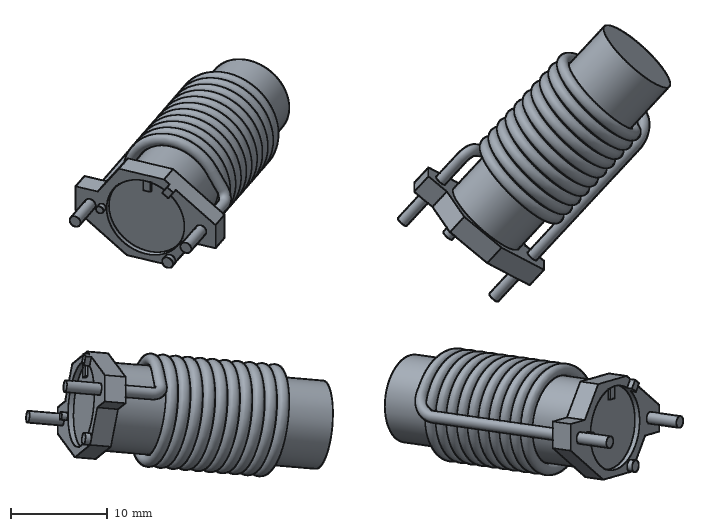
import cadquery as cq
import math


CORE_RADIUS = 4.63
CORE_END_Y = 26.05

BASE_THICKNESS = 2.27
BASE_HALF_WIDTH = 8.0
BASE_HALF_HEIGHT = 5.15
EAR_LONG_SIDE_Z = 1.75
EAR_SHORT_SIDE_Z = 1.07
NOTCH_X = 5.45
STEEP_CORNER_X = 3.05
SLOPE_CORNER_X = 2.12
BORE_RADIUS = 4.45
RECESS_DEPTH = 0.6

FOOT_HEIGHT = 0.63
SMALL_FOOT_RADIUS = 0.42
SMALL_FOOT_X = -4.95
LARGE_FOOT_RADIUS = 0.63
LARGE_FOOT_X = 2.8
LARGE_FOOT_Z = -4.48
RIB_FOOT_WIDTH = 0.87

KEY_WIDTH = 0.85
KEY_BOTTOM_Z = 3.0
KEY_THICKNESS = 0.27

WIRE_RADIUS = 0.63
COIL_CLEARANCE = 0.03
COIL_RADIUS = CORE_RADIUS + WIRE_RADIUS + COIL_CLEARANCE
FULL_TURNS = 10
FULL_TURNS_RISE = 13.52
COIL_PITCH = FULL_TURNS_RISE / FULL_TURNS
COIL_START_Y = 6.98
LEAD_X = 6.33
LEAD_TIP_Y = -3.8
NEAR_BEND_LENGTH = 1.2
FAR_BEND_LENGTH = 2.5

COIL_START_ANGLE = math.acos(COIL_RADIUS / LEAD_X)
COIL_SWEPT_ANGLE = 2 * math.pi * FULL_TURNS + math.pi - 2 * COIL_START_ANGLE
COIL_RISE = COIL_PITCH * COIL_SWEPT_ANGLE / (2 * math.pi)


def rod(radius, x, z, y_start, y_end):
    """Cylinder along Y between two stations."""
    return cq.Workplane(cq.Solid.makeCylinder(
        radius, y_end - y_start, cq.Vector(x, y_start, z), cq.Vector(0, 1, 0)))


def make_core():
    return rod(CORE_RADIUS, 0, 0, RECESS_DEPTH, CORE_END_Y)


def make_rib_foot():
    """Bar from the bore to the sloping edge, square to that edge."""
    edge_x = BASE_HALF_WIDTH - SLOPE_CORNER_X
    edge_z = BASE_HALF_HEIGHT - EAR_SHORT_SIDE_Z
    edge_distance = (edge_z * SLOPE_CORNER_X + edge_x * BASE_HALF_HEIGHT) / math.hypot(edge_x, edge_z)
    normal_angle = math.degrees(math.atan2(edge_x, edge_z))
    bar = cq.Workplane("XY").box(edge_distance, FOOT_HEIGHT, RIB_FOOT_WIDTH, centered=(False, False, True))
    bar = bar.translate((0, -FOOT_HEIGHT, 0)).rotate((0, 0, 0), (0, 1, 0), -normal_angle)
    return bar.cut(rod(BORE_RADIUS, 0, 0, -FOOT_HEIGHT, 0))


def make_base():
    half_outline = [
        (BASE_HALF_WIDTH, EAR_SHORT_SIDE_Z),
        (BASE_HALF_WIDTH, -EAR_LONG_SIDE_Z),
        (NOTCH_X, -EAR_LONG_SIDE_Z),
        (STEEP_CORNER_X, -BASE_HALF_HEIGHT),
        (-SLOPE_CORNER_X, -BASE_HALF_HEIGHT),
    ]
    outline = half_outline + [(-x, -z) for x, z in half_outline]
    base = cq.Workplane("XZ").polyline(outline).close().extrude(-BASE_THICKNESS)
    base = base.union(rod(SMALL_FOOT_RADIUS, SMALL_FOOT_X, 0, -FOOT_HEIGHT, 0))
    base = base.union(rod(LARGE_FOOT_RADIUS, LARGE_FOOT_X, LARGE_FOOT_Z, -FOOT_HEIGHT, 0))
    base = base.union(make_rib_foot())
    base = base.cut(rod(BORE_RADIUS, 0, 0, -FOOT_HEIGHT, RECESS_DEPTH))
    base = base.cut(rod(CORE_RADIUS, 0, 0, RECESS_DEPTH, BASE_THICKNESS))
    for side in (-1, 1):
        base = base.cut(rod(WIRE_RADIUS, side * LEAD_X, 0, 0, BASE_THICKNESS))
    return base


def make_key():
    key = cq.Workplane("XY").box(
        KEY_WIDTH, KEY_THICKNESS, BORE_RADIUS - KEY_BOTTOM_Z, centered=(True, False, False))
    key = key.translate((0, RECESS_DEPTH - KEY_THICKNESS, KEY_BOTTOM_Z))
    return key.intersect(rod(BORE_RADIUS, 0, 0, 0, RECESS_DEPTH))


def sweep_wire(path, start, direction):
    """Round wire along a path that starts at a point in a direction."""
    section = cq.Workplane(cq.Plane(start, normal=direction)).circle(WIRE_RADIUS)
    return section.sweep(cq.Workplane(path), isFrenet=True)


def make_coil():
    helix = cq.Wire.makeHelix(COIL_PITCH, COIL_RISE, COIL_RADIUS, lefthand=True)
    origin = cq.Vector(0, 0, 0)
    helix = helix.rotate(origin, cq.Vector(1, 0, 0), -90)
    helix = helix.rotate(origin, cq.Vector(0, 1, 0), -math.degrees(COIL_START_ANGLE))
    helix = helix.translate(cq.Vector(0, COIL_START_Y, 0))
    return sweep_wire(helix, helix.startPoint(), helix.tangentAt(0))


def make_lead(side, coil_end_y, bend_length):
    """Lead leaving the coil along its tangent, then bent toward the front."""
    slope = COIL_PITCH / (2 * math.pi * COIL_RADIUS)
    coil_end = cq.Vector(
        side * COIL_RADIUS * math.cos(COIL_START_ANGLE), coil_end_y, COIL_RADIUS * math.sin(COIL_START_ANGLE))
    corner_y = coil_end_y - side * slope * COIL_RADIUS * math.tan(COIL_START_ANGLE)
    corner = cq.Vector(side * LEAD_X, corner_y, 0)
    direction = (corner - coil_end).normalized()
    bend_start = corner - direction * bend_length
    bend_end = corner - cq.Vector(0, bend_length, 0)
    tip = cq.Vector(side * LEAD_X, LEAD_TIP_Y, 0)
    path = cq.Wire.assembleEdges([
        cq.Edge.makeLine(coil_end, bend_start),
        cq.Edge.makeTangentArc(bend_start, direction, bend_end),
        cq.Edge.makeLine(bend_end, tip),
    ])
    return sweep_wire(path, coil_end, direction)


def make_wire():
    near_lead = make_lead(1, COIL_START_Y, NEAR_BEND_LENGTH)
    far_lead = make_lead(-1, COIL_START_Y + COIL_RISE, FAR_BEND_LENGTH)
    return make_coil().union(near_lead).union(far_lead)


core = make_core()
base = make_base()
key = make_key()
wire = make_wire()

bodies = [core, base, key, wire]
result = cq.Compound.makeCompound([body.solids().val() for body in bodies])